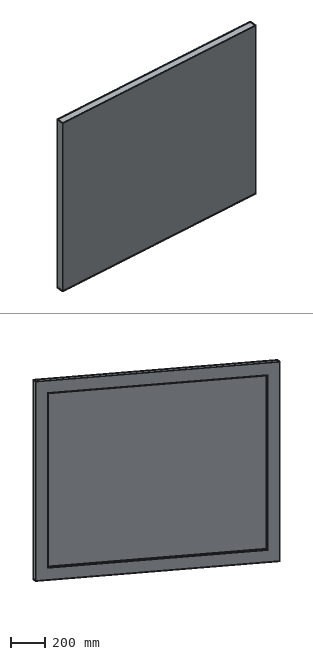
import cadquery as cq
import math

thickness = 50.0
width = 1500.0
height = 1200.0

border = 74.0
recess_depth = 11.0
wall_angle = 60

mouth_width = width - 2 * border
mouth_height = height - 2 * border
wall_run = recess_depth / math.tan(math.radians(wall_angle))


def make_panel():
    return cq.Workplane("XY").box(thickness, width, height)


def make_recess():
    """Tapered block that spans from the -X face down to the recess floor."""
    return (
        cq.Workplane("YZ", origin=(-thickness / 2, 0, 0))
        .rect(mouth_width, mouth_height)
        .workplane(offset=recess_depth)
        .rect(mouth_width - 2 * wall_run, mouth_height - 2 * wall_run)
        .loft(ruled=True)
    )


result = make_panel().cut(make_recess())